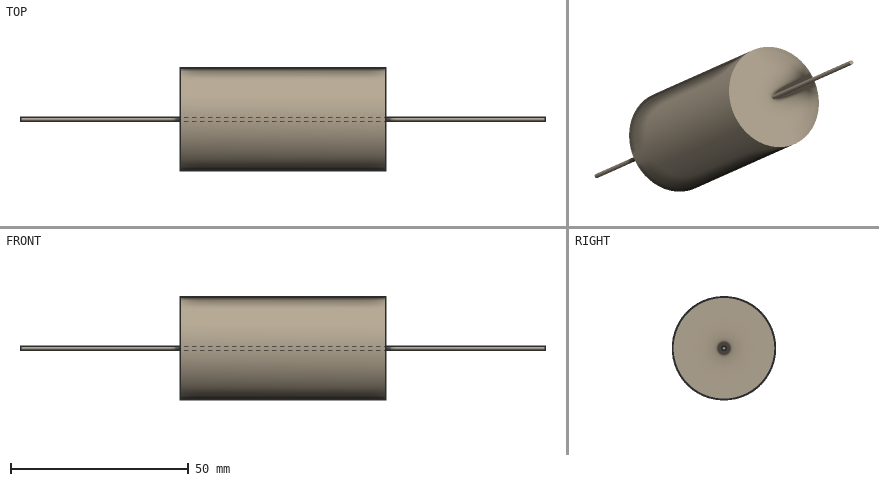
import cadquery as cq

case_diameter = 29.0
case_length = 58.0
wire_diameter = 1.2
lead_length = 45.0
wire_length = case_length + 2 * lead_length


def axial_cylinder(diameter, length):
    """Solid cylinder along X, centred on the origin."""
    start_plane = cq.Workplane("YZ").workplane(offset=-length / 2)
    return start_plane.circle(diameter / 2).extrude(length)


wire = axial_cylinder(wire_diameter, wire_length)

case = axial_cylinder(case_diameter, case_length).cut(wire)

result = cq.Compound.makeCompound([case.val(), wire.val()])